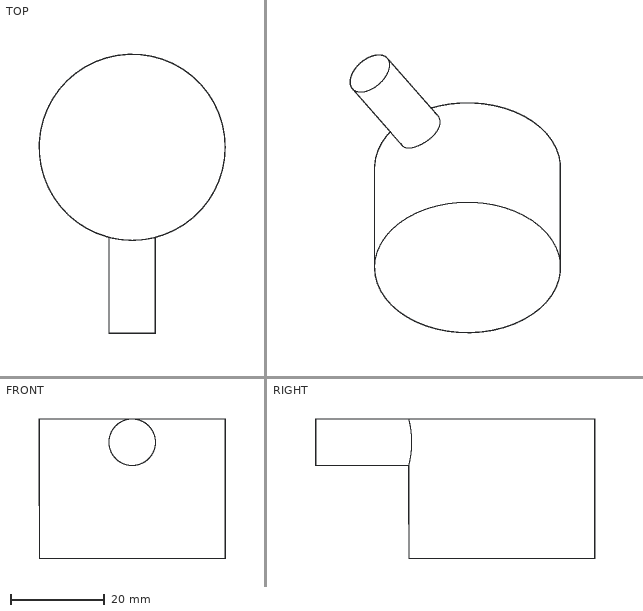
import cadquery as cq

body_diameter = 40.0
body_height = 30.0
handle_diameter = 10.0
handle_reach = 20.0

body_radius = body_diameter / 2
handle_radius = handle_diameter / 2
handle_length = body_radius + handle_reach
handle_axis_height = body_height - handle_radius


def make_body():
    """Upright cylinder standing on the XY plane, centred on the Z axis."""
    return cq.Workplane("XY").circle(body_radius).extrude(body_height)


def make_handle():
    """Horizontal round bar running from the body axis toward -Y."""
    return (
        cq.Workplane("XZ")
        .center(0, handle_axis_height)
        .circle(handle_radius)
        .extrude(handle_length)
    )


result = make_body().union(make_handle())